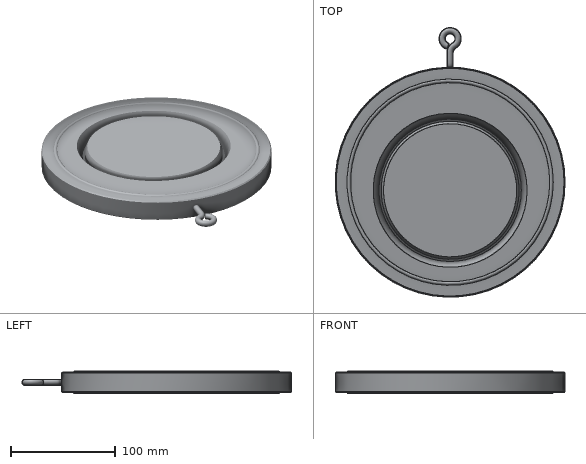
import cadquery as cq
import math

disc_diameter = 220.0
disc_thickness = 19.9
edge_chamfer = 1.0
face_z = disc_thickness / 2

total_height = 21.7
ring_cord_diameter = 4.0
ring_radius = 97.0

plug_offset_y = -7.7
groove_depth = 10.8
groove_top_diameter = 147.3
groove_floor_diameter = 136.2
plug_top_diameter = 127.5
plug_base_diameter = 132.0
plug_taper_height = 5.0
plug_recess = 0.8

overall_length = 258
wire_diameter = 6.0
eye_outer_diameter = 21.2
eye_start_angle = -60
eye_sweep_angle = 315
shank_embed = 7.7

eye_radius = (eye_outer_diameter - wire_diameter) / 2
eye_center_y = overall_length - disc_diameter / 2 - eye_outer_diameter / 2


def groove():
    """Ring-shaped cut with a conical outer wall, leaving the plug standing in the middle."""
    floor_z = face_z - groove_depth
    plug_top_z = face_z - plug_recess
    pocket = [
        (0, face_z),
        (groove_top_diameter / 2, face_z),
        (groove_floor_diameter / 2, floor_z),
        (plug_base_diameter / 2, floor_z),
        (plug_base_diameter / 2, plug_top_z - plug_taper_height),
        (plug_top_diameter / 2, plug_top_z),
        (0, plug_top_z),
    ]
    cut = cq.Workplane("XZ").polyline(pocket).close().revolve(360, (0, 0, 0), (0, 1, 0))
    return cut.translate((0, plug_offset_y, 0))


def sealing_ring(side):
    """Round-cord ring on one face; side is 1 for the top and -1 for the bottom."""
    center_z = side * (total_height - ring_cord_diameter) / 2
    ring = cq.Solid.makeTorus(ring_radius, ring_cord_diameter / 2, cq.Vector(0, 0, center_z))
    return cq.Workplane("XY").newObject([ring])


def wire_arc(center_x, center_y, radius, start_angle, sweep_angle):
    """Round wire bent in the XY plane about a vertical axis."""
    arc = (
        cq.Workplane("XZ")
        .center(radius, 0)
        .circle(wire_diameter / 2)
        .revolve(sweep_angle, (-radius, 0, 0), (-radius, 1, 0))
    )
    return arc.rotate((0, 0, 0), (0, 0, 1), start_angle).translate((center_x, center_y, 0))


def lifting_eye():
    """Straight shank, bent neck and open loop."""
    start = math.radians(eye_start_angle)
    join_x = eye_radius * math.cos(start)
    join_y = eye_center_y + eye_radius * math.sin(start)

    neck_turn = -eye_start_angle
    turn = math.radians(neck_turn)
    neck_radius = join_x / (1 - math.cos(turn))
    shank_end_y = join_y - neck_radius * math.sin(turn)

    shank_start_y = disc_diameter / 2 - shank_embed
    shank = (
        cq.Workplane("XZ", origin=(0, shank_start_y, 0))
        .circle(wire_diameter / 2)
        .extrude(shank_start_y - shank_end_y)
    )
    neck = wire_arc(neck_radius, shank_end_y, neck_radius, 180 - neck_turn, neck_turn)
    loop = wire_arc(0, eye_center_y, eye_radius, eye_start_angle, eye_sweep_angle)
    return shank.union(neck).union(loop)


disc = (
    cq.Workplane("XY", origin=(0, 0, -face_z))
    .circle(disc_diameter / 2)
    .extrude(disc_thickness)
    .edges()
    .chamfer(edge_chamfer)
)

result = disc.cut(groove())
for side in (1, -1):
    result = result.union(sealing_ring(side))
result = result.union(lifting_eye())